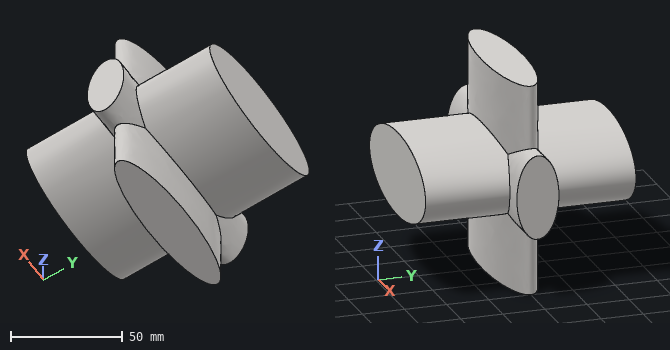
import cadquery as cq

bar_length = 100.0

width_x = 80.0
width_y = 20.0
width_z = 40.0


def elliptical_bar(plane, first_width, second_width):
    """Elliptical bar along the plane's normal, with widths along its local x and y."""
    section = cq.Workplane(plane).ellipse(first_width / 2, second_width / 2)
    return section.extrude(bar_length / 2, both=True)


bar_along_x = elliptical_bar("YZ", width_y, width_z)
bar_along_y = elliptical_bar("XZ", width_x, width_z)
bar_along_z = elliptical_bar("XY", width_x, width_y)

result = bar_along_y.union(bar_along_z).union(bar_along_x)